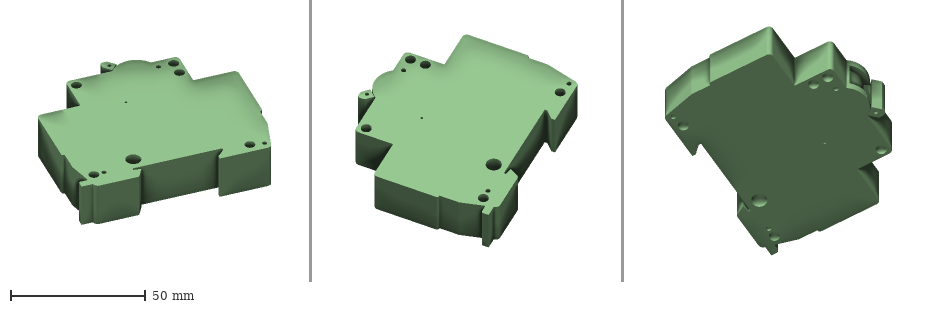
import cadquery as cq
import math

length = 80.0
depth = 71.7
thickness = 17.8
middle = length / 2

shoulder_x = 22.3
nose_x = 6.3
nose_half_width = 22.5
corner_radius = 1.8

step_x = 49.2
step_height = 1.1
step_radius = 1.0
slope_start_x = 57.3
slope = math.tan(math.radians(15))
back_radius = 2.0

recess_x = 66.0
recess_top = 57.5
hook_tip_x = 70.2
hook_tip_y = 54.4
relief_x = hook_tip_x - (recess_top - hook_tip_y)
recess_bottom = 21.9
latch_x = 66.9
latch_root_y = 21.6
latch_tip = (67.4, 24.8)
latch_back_y = latch_tip[1] - (depth - latch_tip[0]) * math.tan(math.radians(30))
latch_radius = 1.3

tab_right_x = 69.9
tab_radius = 0.6

drum_center = (11.7, 43.9)
drum_radius = 9.4
core_radius = 7.0
flange_thickness = 3.2
slot_start_angle = 132
slot_end_angle = 209
slot_outer_radius = drum_radius + 0.4
pin_diameter = 1.4
pin_depth = 2.8
pin_overhang = 0.02

lever_base_corners = [(5.7, 36.4), (2.8, 39.3)]
lever_neck_width = 2.4
lever_neck_length = 1.6
lever_neck_angle = 45
lever_front_y = 36.4
lever_bottom_y = 33.7
lever_bottom_x = 3.0
lever_radius = 1.0
lever_hole = (2.7, 36.5)
lever_hole_diameter = 1.5

through_holes = {
    4.1: [(9.8, 59.4), (16.0, 59.4), (9.8, 20.6), (67.4, 68.0), (64.5, 7.0)],
    1.9: [(9.8, 53.3), (68.6, 73.4), (64.5, 11.0)],
    1.0: [(26.3, 34.2)],
    6.0: [(60.7, 24.1)],
}


def slope_inset(x):
    """Distance of the sloping end face from the overall end at position x."""
    return step_height + (x - slope_start_x) * slope


def round_corners(solid, points, radius):
    """Round the vertical edges that pass through the given XY points."""
    reach = 0.04
    for x, y in points:
        box = cq.selectors.BoxSelector((x - reach, y - reach, -0.8), (x + reach, y + reach, thickness + 0.8))
        solid = solid.edges("|Z").edges(box).fillet(radius)
    return solid


def make_housing():
    nose_low = middle - nose_half_width
    nose_high = middle + nose_half_width
    outline = [
        (shoulder_x, 0),
        (step_x, 0),
        (step_x, step_height),
        (slope_start_x, step_height),
        (latch_x, slope_inset(latch_x)),
        (latch_x, 0),
        (tab_right_x, 0),
        (tab_right_x, slope_inset(tab_right_x)),
        (depth, slope_inset(depth)),
        (depth, latch_back_y),
        latch_tip,
        (latch_x, latch_root_y),
        (recess_x, recess_bottom),
        (recess_x, recess_top),
        (relief_x, recess_top),
        (hook_tip_x, hook_tip_y),
        (depth, hook_tip_y),
        (depth, length - slope_inset(depth)),
        (slope_start_x, length - step_height),
        (step_x, length - step_height),
        (step_x, length),
        (shoulder_x, length),
        (shoulder_x, nose_high),
        (nose_x, nose_high),
        (nose_x, nose_low),
        (shoulder_x, nose_low),
    ]
    body = cq.Workplane("XY").polyline(outline).close().extrude(thickness)
    front_corners = [(shoulder_x, 0), (shoulder_x, length), (nose_x, nose_low), (nose_x, nose_high)]
    back_corners = [(depth, slope_inset(depth)), (depth, length - slope_inset(depth))]
    body = round_corners(body, front_corners, corner_radius)
    body = round_corners(body, [(step_x, 0), (step_x, length)], step_radius)
    body = round_corners(body, [(depth, latch_back_y)], latch_radius)
    body = round_corners(body, [(latch_x, 0)], tab_radius)
    return round_corners(body, back_corners, back_radius)


def drum_point(radius, angle):
    turn = math.radians(angle)
    return (drum_center[0] + radius * math.cos(turn), drum_center[1] + radius * math.sin(turn))


def make_drum_slot():
    """Ring sector between the two drum flanges, leaving the core standing."""
    mid_angle = (slot_start_angle + slot_end_angle) / 2
    return (
        cq.Workplane("XY", origin=(0, 0, flange_thickness))
        .moveTo(*drum_point(core_radius, slot_start_angle))
        .lineTo(*drum_point(slot_outer_radius, slot_start_angle))
        .threePointArc(drum_point(slot_outer_radius, mid_angle), drum_point(slot_outer_radius, slot_end_angle))
        .lineTo(*drum_point(core_radius, slot_end_angle))
        .threePointArc(drum_point(core_radius, mid_angle), drum_point(core_radius, slot_start_angle))
        .close()
        .extrude(thickness - 2 * flange_thickness)
    )


def make_pin_hole():
    """Blind hole in the lower flange that just breaks through the drum rim."""
    pin_x = drum_center[0] - drum_radius + pin_diameter / 2 - pin_overhang
    return (
        cq.Workplane("XY", origin=(pin_x, drum_center[1], flange_thickness - pin_depth))
        .circle(pin_diameter / 2)
        .extrude(pin_depth)
    )


def make_lever():
    outline = lever_base_corners + [
        (0, lever_front_y),
        (0, lever_bottom_y),
        (lever_bottom_x, lever_bottom_y),
    ]
    lever = cq.Workplane("XY").polyline(outline).close().extrude(thickness)
    lever = round_corners(lever, [(0, lever_bottom_y), (lever_bottom_x, lever_bottom_y)], lever_radius)
    hole = cq.Workplane("XY").center(*lever_hole).circle(lever_hole_diameter / 2).extrude(thickness)
    (first_x, first_y), (second_x, second_y) = lever_base_corners
    base_center = ((first_x + second_x) / 2, (first_y + second_y) / 2, thickness / 2)
    neck = (
        cq.Workplane("XY")
        .box(lever_neck_length, lever_neck_width, thickness - 2 * flange_thickness)
        .rotate((0, 0, 0), (0, 0, 1), lever_neck_angle)
        .translate(base_center)
    )
    return lever.union(neck).cut(hole)


drum = cq.Workplane("XY").center(*drum_center).circle(drum_radius).extrude(thickness)
result = make_housing().union(drum).cut(make_drum_slot()).cut(make_pin_hole()).union(make_lever())
for diameter, centers in through_holes.items():
    drills = cq.Workplane("XY").pushPoints(centers).circle(diameter / 2).extrude(thickness)
    result = result.cut(drills)